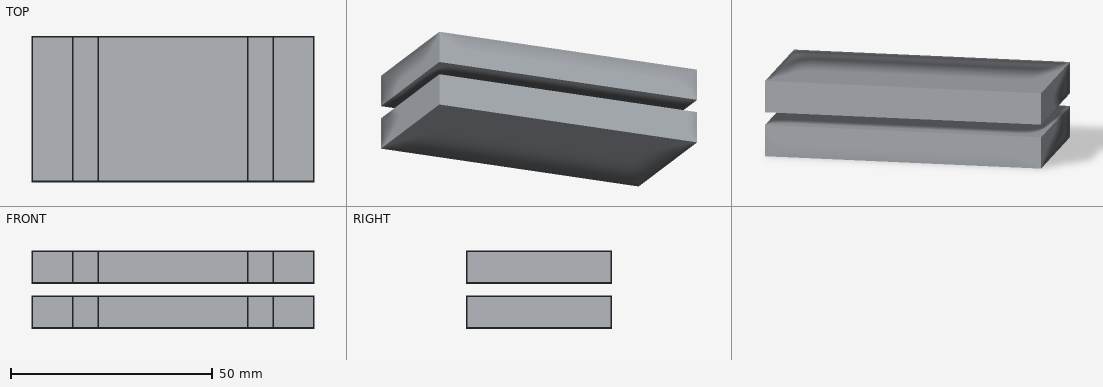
import cadquery as cq

length = 70.0
depth = 36.0
layer_height = 8.0
layer_gap = 3.2
end_length = 10.1
strip_length = 6.3

center_length = length - 2 * (end_length + strip_length)
strip_offset = (center_length + strip_length) / 2
end_offset = (length - end_length) / 2
layer_offset = (layer_height + layer_gap) / 2


def block(block_length, x, z):
    """Full-depth rectangular block centred at (x, 0, z)."""
    return cq.Workplane("XY").box(block_length, depth, layer_height).translate((x, 0, z))


def center_block(z):
    """Wide block in the middle of a layer."""
    return block(center_length, 0, z)


def strip(side, z):
    """Narrow strip between the center block and an end block."""
    return block(strip_length, side * strip_offset, z)


def end_block(side, z):
    """Block closing one end of a layer."""
    return block(end_length, side * end_offset, z)


bodies = []
for z in (-layer_offset, layer_offset):
    bodies.append(center_block(z).val())
    for side in (-1, 1):
        bodies.append(strip(side, z).val())
        bodies.append(end_block(side, z).val())

result = cq.Compound.makeCompound(bodies)